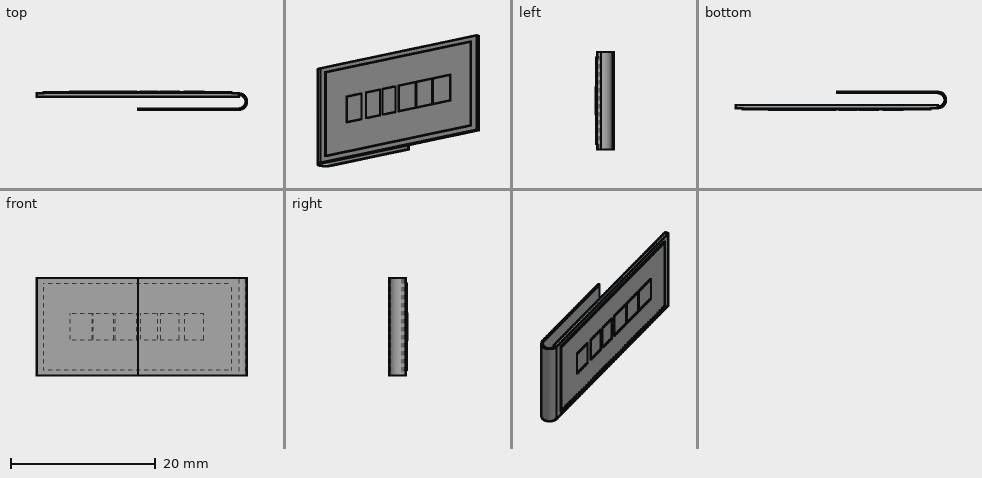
import cadquery as cq

total_length = 29.12
total_depth = 2.5
height = 13.5

panel_length = 27.98
panel_thickness = 0.5

film_length = 26.0
film_height = 12.0
film_thickness = 0.15

pad_height = 3.67
pad_thickness = 0.05
pad_spans = [
    (4.6, 7.7),
    (7.83, 10.65),
    (10.83, 13.8),
    (14.4, 16.71),
    (17.15, 19.69),
    (20.47, 23.12),
]

flex_thickness = 0.2
tail_start = 14.0

bend_outer_radius = total_length - panel_length
bend_inner_radius = bend_outer_radius - flex_thickness
bend_outer_diameter = 2 * bend_outer_radius
pad_back = total_depth - pad_thickness
film_back = pad_back - film_thickness
panel_front = film_back - panel_thickness


def plate(x_start, length, y_start, thickness, plate_height):
    """Upright rectangular plate, centred on Z = 0."""
    return cq.Workplane("XY").box(
        length, thickness, plate_height, centered=(False, False, True)
    ).translate((x_start, y_start, 0))


def make_panel():
    return plate(0, panel_length, panel_front, panel_thickness, height)


def make_film():
    """Thin film centred on the back face of the panel."""
    film_start = (panel_length - film_length) / 2
    return plate(film_start, film_length, film_back, film_thickness, film_height)


def make_flex():
    """Flat tail and half-round bend that ends against the panel's end face."""
    bend_inner_x = panel_length + bend_inner_radius
    return (
        cq.Workplane("XY")
        .workplane(offset=-height / 2)
        .moveTo(tail_start, 0)
        .lineTo(panel_length, 0)
        .threePointArc((total_length, bend_outer_radius), (panel_length, bend_outer_diameter))
        .lineTo(panel_length, bend_outer_diameter - flex_thickness)
        .threePointArc((bend_inner_x, bend_outer_radius), (panel_length, flex_thickness))
        .lineTo(tail_start, flex_thickness)
        .close()
        .extrude(height)
    )


def make_pad(x_start, x_end):
    """Raised pad on the back face of the film."""
    return plate(x_start, x_end - x_start, pad_back, pad_thickness, pad_height)


panel = make_panel()
film = make_film()
flex = make_flex()
pads = [make_pad(x_start, x_end) for x_start, x_end in pad_spans]

result = cq.Compound.makeCompound(
    [panel.val(), film.val(), flex.val(), *[pad.val() for pad in pads]]
)